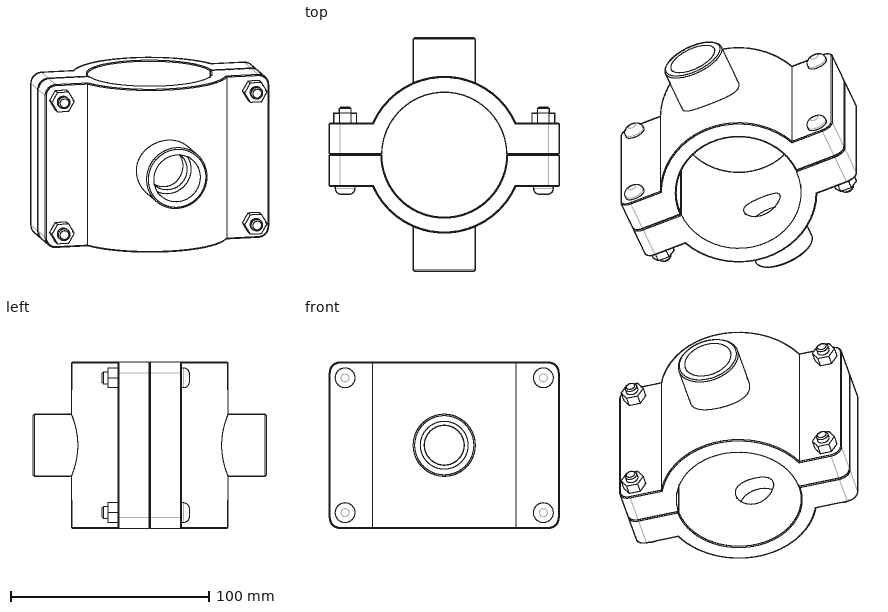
import cadquery as cq
import math

clamp_height = 84.0
clamp_width = 116.0
bore_radius = 63.0 / 2
wall_thickness = 8.0
ring_radius = bore_radius + wall_thickness
flange_thickness = 16.0
flange_corner_radius = 5.5
edge_chamfer = 0.5

spigot_radius = 31.35 / 2
spigot_reach = 59.0
spigot_chamfer = 0.75
port_radius = 20.0 / 2
socket_radius = 24.12 / 2
socket_depth = 20.0

bolt_edge_distance = 8.0
bolt_x = clamp_width / 2 - bolt_edge_distance
bolt_z = clamp_height / 2 - bolt_edge_distance
bolt_positions = [(x, z) for x in (-bolt_x, bolt_x) for z in (-bolt_z, bolt_z)]
head_radius = 10.0 / 2
head_height = 4.0
head_rounding = 3.0
nut_across_flats = 10.0
nut_corner_diameter = nut_across_flats * 2 / math.sqrt(3)
nut_height = 5.0
bolt_radius = 6.0 / 2
bolt_protrusion = 8.0
bolt_end_chamfer = 0.75


def plane_at(y):
    """XZ plane at the given Y that extrudes toward +Y."""
    return cq.Plane(origin=(0, y, 0), xDir=(-1, 0, 0), normal=(0, 1, 0))


def cylinder_along_y(radius, start, length):
    return cq.Workplane(plane_at(start)).circle(radius).extrude(length)


def half_shell(chamfered_bore):
    """Half ring with two flanges on the +Y side, without its spigot."""
    ring = cq.Workplane("XY").circle(ring_radius).extrude(clamp_height / 2, both=True)
    flanges = (
        cq.Workplane("XY")
        .box(clamp_width, 2 * flange_thickness, clamp_height)
        .edges("|Y")
        .fillet(flange_corner_radius)
    )
    rear_side = cq.Workplane("XY").box(
        clamp_width, ring_radius, clamp_height, centered=(True, False, True)
    )
    shell = ring.union(flanges).intersect(rear_side)

    rim = shell.faces("+Y").edges("not |Z")
    shell = shell.faces("|Z").edges("%CIRCLE").add(rim).chamfer(edge_chamfer)

    bore = cq.Workplane("XY").circle(bore_radius).extrude(clamp_height, both=True)
    shell = shell.cut(bore)

    bevelled = shell.faces("<Y").edges()
    if chamfered_bore:
        bore_arcs = shell.faces("|Z").edges(cq.selectors.RadiusNthSelector(0))
        bevelled = bevelled.add(bore_arcs)
    return bevelled.chamfer(edge_chamfer)


def clamp_half(chamfered_bore):
    """Half shell with its spigot, built on the +Y side."""
    spigot = cylinder_along_y(spigot_radius, bore_radius, spigot_reach - bore_radius)
    spigot = spigot.faces(">Y").chamfer(spigot_chamfer)
    port = cylinder_along_y(port_radius, 0, spigot_reach)
    socket = cylinder_along_y(socket_radius, spigot_reach - socket_depth, socket_depth)
    return half_shell(chamfered_bore).union(spigot).cut(port).cut(socket)


def button_head():
    """Domed bolt head standing on the flange face at +Y."""
    head = cylinder_along_y(head_radius, flange_thickness, head_height)
    return head.faces(">Y").edges().fillet(head_rounding)


def nut_and_bolt_end():
    """Hexagonal nut on the flange face at +Y, with the bolt end passing through it."""
    nut = cq.Workplane(plane_at(flange_thickness)).polygon(6, nut_corner_diameter).extrude(nut_height)
    bolt_end = cylinder_along_y(bolt_radius, flange_thickness, bolt_protrusion)
    bolt_end = bolt_end.faces(">Y").chamfer(bolt_end_chamfer)
    return nut.union(bolt_end)


def with_hardware(half, hardware):
    """Join a copy of the hardware to the half at every bolt position."""
    for x, z in bolt_positions:
        half = half.union(hardware.translate((x, 0, z)))
    return half


rear_half = with_hardware(clamp_half(chamfered_bore=False), nut_and_bolt_end())

front_half = with_hardware(clamp_half(chamfered_bore=True), button_head())
front_half = front_half.rotate((0, 0, 0), (0, 0, 1), 180)

result = cq.Compound.makeCompound([front_half.solids().val(), rear_half.solids().val()])